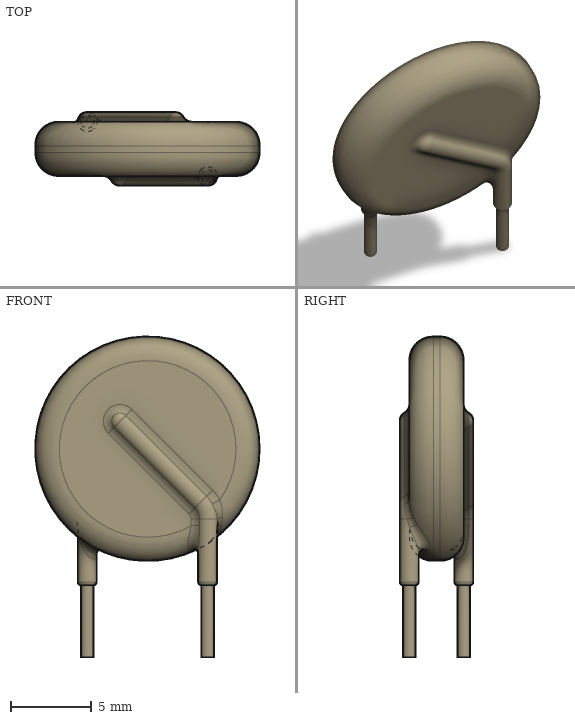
import cadquery as cq
import math

disc_diameter = 14.0
disc_thickness = 3.4
rim_radius = 1.5
overall_height = 20.0

coating_diameter = 1.2
wire_diameter = 0.8
lead_pitch = 7.5
bend_radius = 1.5
bend_angle = 45.0
coating_bottom = 4.48
coating_end_round = 0.25
blend_radius = 0.6
lead_end_offset = 1.72

disc_radius = disc_diameter / 2
disc_height = overall_height - disc_radius
coating_radius = coating_diameter / 2
lead_x = lead_pitch / 2
lead_y = -disc_thickness / 2
lead_end = (-lead_end_offset, disc_height + lead_end_offset / math.tan(math.radians(bend_angle)))

bend_corner_z = disc_height - lead_x / math.tan(math.radians(bend_angle))
bend_setback = bend_radius * math.tan(math.radians(bend_angle / 2))
bend_start = (lead_x, bend_corner_z - bend_setback)
bend_end = (
    lead_x - bend_setback * math.sin(math.radians(bend_angle)),
    bend_corner_z + bend_setback * math.cos(math.radians(bend_angle)),
)
bend_middle = (
    lead_x - bend_radius * (1 - math.cos(math.radians(bend_angle / 2))),
    bend_start[1] + bend_radius * math.sin(math.radians(bend_angle / 2)),
)


def turned_to_back(shape):
    """The rear lead is the front lead turned half a turn about the vertical axis."""
    return shape.rotate((0, 0, 0), (0, 0, 1), 180)


def make_disc():
    half_thickness = disc_thickness / 2
    face_radius = disc_radius - rim_radius
    half_flat = half_thickness - rim_radius
    diagonal = rim_radius * math.sqrt(0.5)
    profile = (
        cq.Workplane("XY")
        .moveTo(0, -half_thickness)
        .lineTo(face_radius, -half_thickness)
        .threePointArc((face_radius + diagonal, -half_flat - diagonal), (disc_radius, -half_flat))
        .lineTo(disc_radius, half_flat)
        .threePointArc((face_radius + diagonal, half_flat + diagonal), (face_radius, half_thickness))
        .lineTo(0, half_thickness)
        .close()
    )
    disc = profile.revolve(360, (0, 0, 0), (0, 1, 0))
    return disc.translate((0, 0, disc_height))


def make_lead_coating():
    path = (
        cq.Workplane("XZ", origin=(0, lead_y, 0))
        .moveTo(lead_x, coating_bottom)
        .lineTo(*bend_start)
        .threePointArc(bend_middle, bend_end)
        .lineTo(*lead_end)
    )
    tube = (
        cq.Workplane("XY", origin=(lead_x, lead_y, coating_bottom))
        .circle(coating_radius)
        .sweep(path)
        .faces("<Z").edges().fillet(coating_end_round)
    )
    round_end = cq.Workplane("XY").sphere(coating_radius).translate((lead_end[0], lead_y, lead_end[1]))
    return tube.union(round_end)


def make_housing():
    """Disc and both lead coatings are one continuous coat, blended where they meet."""
    coating = make_lead_coating()
    body = make_disc().union(coating).union(turned_to_back(coating))
    tip_reach = coating_radius * math.sqrt(0.5)
    tip_x = lead_end[0] - tip_reach
    tip_z = lead_end[1] + tip_reach
    front_tip = cq.selectors.NearestToPointSelector((tip_x, lead_y, tip_z))
    back_tip = cq.selectors.NearestToPointSelector((-tip_x, -lead_y, tip_z))
    return body.edges(front_tip + back_tip).fillet(blend_radius)


def make_wire():
    """Bare wire from its tip up to the end face of the coating."""
    wire = cq.Workplane("XY").circle(wire_diameter / 2).extrude(coating_bottom)
    return wire.translate((lead_x, lead_y, 0))


housing = make_housing()
wires = [make_wire()]
wires.append(turned_to_back(wires[0]))

result = cq.Compound.makeCompound([
    *housing.solids().vals(),
    *[wire.val() for wire in wires],
])